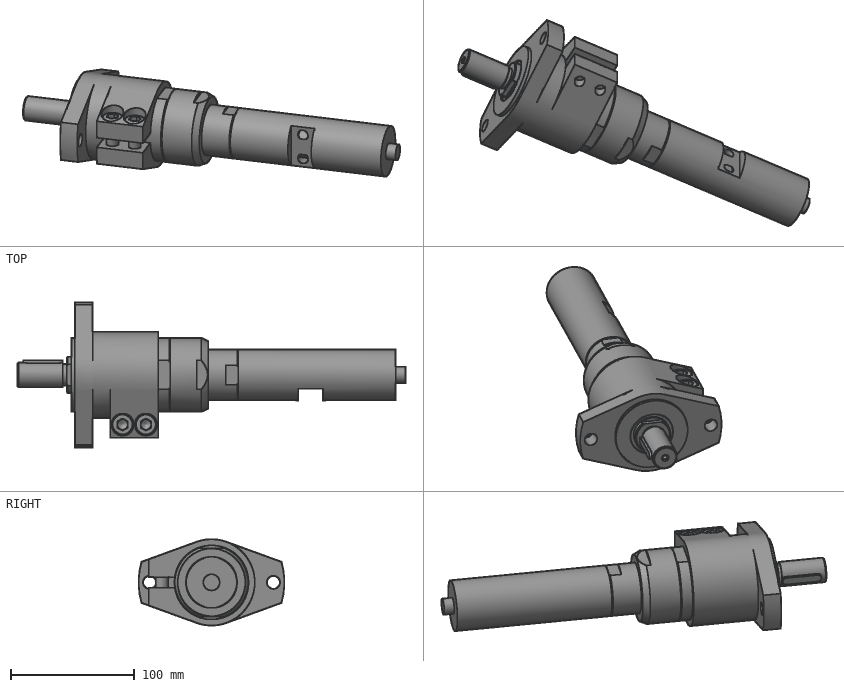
import cadquery as cq
import math


shaft_dia = 20.0
shaft_end = 36.7
shaft_chamfer = 1.0
shaft_neck_dia = 18.0
center_hole_dia = 3.5
center_hole_depth = 7.8
countersink_dia = 5.5
key_start = 4.7
key_width = 6.0
key_top = 12.0

collar_start = 39.8
collar_dia = 29.5
collar_chamfer = 1.0
collar_flats = 23.8
recess_dia = 35.5
recess_depth = 1.5

pilot_start = 43.5
pilot_dia = 60.0
flange_start = 46.5
flange_end = 60.8
flange_span = 118.0
body_dia = 70.0
mount_hole_dia = 10.5
mount_hole_spacing = 100.0
side_angle = 20

body_radius = body_dia / 2
side = math.radians(side_angle)
tangent_y = body_radius * math.sin(side)
tangent_z = body_radius * math.cos(side)

clamp_start = 75.0
clamp_end = 113.8
clamp_reach = 50.8
slit_width = 8.5
screw_offset = 40.0
screw_spacing = 18.8
screw_dia = 10.0
counterbore_dia = 18.0
head_dia = 16.0
head_edge = 1.3
head_top = 20.0
head_height = 9.7
socket_flats = 8.5
socket_depth = 4.0
socket_cone_depth = 2.5
thread_hole_dia = 8.0
thread_hole_top = -15.7

nut_start = 123.5
nut_end = 144.8
nut_chamfer_start = 148.5
barrel_end = 154.2
barrel_flats = 55.2
nose_dia = 54.5

tube_dia = 41.5
tube_flat_start = 168.5
tube_flat_end = 178.5
tube_flats = 38.2
tube_end = 305.5
pin_dia = 13.2
total_length = 313.5

relief_width = 1.0
relief_depth = 0.3

pocket_start = 227.0
pocket_end = 246.7
pocket_floor = 11.3
port_dia = 8.5
port_spacing = 20.7
port_core_dia = 26.3


def disc(start, end, dia):
    """Round length of the spindle between two stations."""
    return cq.Workplane("YZ", origin=(start, 0, 0)).circle(dia / 2).extrude(end - start)


def relief_groove(end, dia):
    """Narrow ring groove that ends at a shoulder."""
    start = end - relief_width
    return disc(start, end, dia).cut(disc(start, end, dia - 2 * relief_depth))


def tip_cone(dia, depth, base, direction):
    """Cone with its round base at a point, narrowing to a tip along a direction."""
    cone = cq.Solid.makeCone(dia / 2, 0, depth, pnt=cq.Vector(*base), dir=cq.Vector(*direction))
    return cq.Workplane(cone)


def flats_cut(start, end, dia, across):
    """Material outside a pair of flats facing +Z and -Z."""
    length = end - start
    block_side = 2 * dia
    sleeve = cq.Workplane("XY").box(length, block_side, block_side)
    core = cq.Workplane("XY").box(length, block_side, across)
    return sleeve.cut(core).translate(((start + end) / 2, 0, 0))


def build_shaft():
    shaft = disc(0, shaft_end, shaft_dia).faces("<X").chamfer(shaft_chamfer)
    shaft = shaft.union(disc(shaft_end, collar_start, shaft_neck_dia))

    key_length = shaft_end - key_start
    key = (
        cq.Workplane("XZ", origin=((key_start + shaft_end) / 2, 0, 0))
        .slot2D(key_length, key_width)
        .extrude(-key_top)
    )
    shaft = shaft.union(key)

    hole = disc(0, center_hole_depth, center_hole_dia)
    countersink = tip_cone(countersink_dia, countersink_dia / 2, (0, 0, 0), (1, 0, 0))
    return shaft.cut(hole).cut(countersink)


def build_collar():
    collar = disc(collar_start, pilot_start + recess_depth, collar_dia)
    collar = collar.faces("<X").chamfer(collar_chamfer)
    return collar.cut(flats_cut(collar_start, pilot_start, collar_dia, collar_flats))


def build_flange():
    """Pilot, plate and round body; the plate sides are tangent to the body circle."""
    span_radius = flange_span / 2
    corner_angle = math.pi / 2 - side - math.acos(body_radius / span_radius)
    corner_y = span_radius * math.cos(corner_angle)
    corner_z = span_radius * math.sin(corner_angle)

    plate = (
        cq.Workplane("YZ", origin=(flange_start, 0, 0))
        .moveTo(tangent_y, tangent_z)
        .lineTo(corner_y, corner_z)
        .threePointArc((span_radius, 0), (corner_y, -corner_z))
        .lineTo(tangent_y, -tangent_z)
        .threePointArc((0, -body_radius), (-tangent_y, -tangent_z))
        .lineTo(-corner_y, -corner_z)
        .threePointArc((-span_radius, 0), (-corner_y, corner_z))
        .lineTo(-tangent_y, tangent_z)
        .threePointArc((0, body_radius), (tangent_y, tangent_z))
        .close()
        .extrude(flange_end - flange_start)
    )
    holes = (
        cq.Workplane("YZ", origin=(flange_start, 0, 0))
        .pushPoints([(-mount_hole_spacing / 2, 0), (mount_hole_spacing / 2, 0)])
        .circle(mount_hole_dia / 2)
        .extrude(flange_end - flange_start)
    )
    pilot = disc(pilot_start, flange_start, pilot_dia)
    recess = disc(pilot_start, pilot_start + recess_depth, recess_dia)
    body = disc(flange_end, clamp_start, body_dia)
    return plate.cut(holes).union(pilot.cut(recess)).union(body)


def build_screw(x):
    """Socket head cap screw standing in its counterbore."""
    axis = cq.Workplane("XY", origin=(x, -screw_offset, head_top))
    head = axis.circle(head_dia / 2).extrude(-head_height)
    head = head.faces(">Z").edges().fillet(head_edge)
    shank = axis.circle(screw_dia / 2).extrude(thread_hole_top - head_top)

    corner_dia = socket_flats / math.cos(math.pi / 6)
    hexagon = axis.polygon(6, corner_dia).extrude(-socket_depth)
    hexagon = hexagon.rotate((x, -screw_offset, 0), (x, -screw_offset, 1), 30)
    socket_floor = (x, -screw_offset, head_top - socket_depth)
    cone = tip_cone(socket_flats, socket_cone_depth, socket_floor, (0, 0, -1))
    return head.union(shank).cut(hexagon).cut(cone)


def build_clamp():
    """Round ring with two ears on the -Y side, drawn together by the screws."""
    ear_z = (body_radius - clamp_reach * math.sin(side)) / math.cos(side)
    length = clamp_end - clamp_start
    middle = (clamp_start + clamp_end) / 2

    clamp = (
        cq.Workplane("YZ", origin=(clamp_start, 0, 0))
        .moveTo(-tangent_y, tangent_z)
        .threePointArc((body_radius, 0), (-tangent_y, -tangent_z))
        .lineTo(-clamp_reach, -ear_z)
        .lineTo(-clamp_reach, ear_z)
        .close()
        .extrude(length)
    )
    slit = cq.Workplane("XY").box(length, clamp_reach, slit_width)
    slit = slit.translate((middle, -clamp_reach / 2, 0))
    slit = slit.cut(disc(clamp_start, clamp_end, pilot_dia))
    clamp = clamp.cut(slit)

    for x in (middle - screw_spacing / 2, middle + screw_spacing / 2):
        seat = cq.Workplane("XY", origin=(x, -screw_offset, head_top - head_height))
        clamp = clamp.cut(seat.circle(counterbore_dia / 2).extrude(body_dia))
        thread = cq.Workplane("XY", origin=(x, -screw_offset, thread_hole_top))
        clamp = clamp.cut(thread.circle(thread_hole_dia / 2).extrude(-body_dia))
        clamp = clamp.union(build_screw(x))
    return clamp


def build_barrel():
    barrel = disc(clamp_end, nut_end, pilot_dia)
    nose_drop = (pilot_dia - nose_dia) / 2
    nose = disc(nut_end, barrel_end, pilot_dia)
    nose = nose.faces(">X").chamfer(barrel_end - nut_chamfer_start, nose_drop)
    barrel = barrel.union(nose)
    for start, end in ((clamp_end, nut_start), (nut_end, barrel_end)):
        barrel = barrel.cut(flats_cut(start, end, pilot_dia, barrel_flats))
    return barrel.cut(relief_groove(nut_start, pilot_dia))


def build_tube():
    tube = disc(barrel_end, tube_end, tube_dia).union(disc(tube_end, total_length, pin_dia))
    tube = tube.cut(flats_cut(tube_flat_start, tube_flat_end, tube_dia, tube_flats))
    tube = tube.cut(relief_groove(tube_flat_end, tube_dia))

    middle = (pocket_start + pocket_end) / 2
    pocket = cq.Workplane("XY").box(pocket_end - pocket_start, tube_dia, tube_dia)
    pocket = pocket.translate((middle, -pocket_floor - tube_dia / 2, 0))
    ports = (
        cq.Workplane("XZ", origin=(middle, -pocket_floor, 0))
        .pushPoints([(0, -port_spacing / 2), (0, port_spacing / 2)])
        .circle(port_dia / 2)
        .extrude(-pocket_floor)
    )
    ports = ports.cut(disc(pocket_start, pocket_end, port_core_dia))
    return tube.cut(pocket).cut(ports)


result = (
    build_flange()
    .union(build_clamp())
    .union(build_collar())
    .union(build_shaft())
    .union(build_barrel())
    .union(build_tube())
)